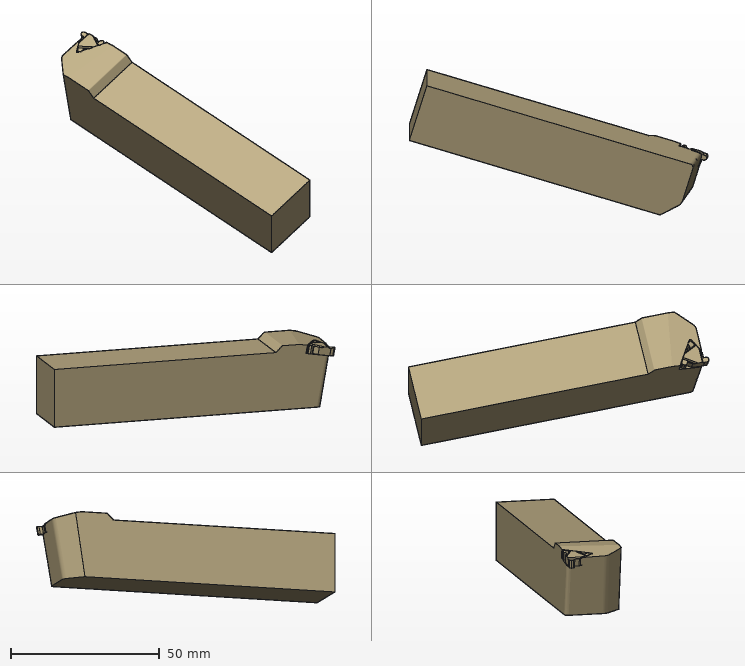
import cadquery as cq
import math

LENGTH = 99.2
WIDTH = 20.0
SHANK_HEIGHT = 20.0
HEAD_HEIGHT = 22.2
HEAD_END_X = 18.85
HEAD_CREST_RADIUS = 0.5
HEAD_FOOT_X = 21.1

NOSE_TOP_X = 1.4
NOSE_BOTTOM_X = 5.3
CORNER_TOP = 6.25
CORNER_BOTTOM = 5.8
CORNER_RADIUS = 3.0
SIDE_RADIUS = 1.3

RAMP_START_X = 9.9
RAMP_END_X = 12.8
RAMP_ANGLE = 10.0

INSERT_X = 4.7
INSERT_Y = 16.8
INSERT_THICKNESS = 2.9
INSERT_INRADIUS = 3.1
SHOULDER_REACH = 3.2
TOOTH_REACH = 4.8
TOOTH_OFFSET = 2.1
TOOTH_WIDTH = 1.8
TOOTH_CHAMFER = 0.5
POCKET_INRADIUS = 3.2
POCKET_CORNER_RADIUS = 0.4
GROOVE_START = 2.3
GROOVE_BOTTOM = 2.7
GROOVE_DEPTH = 0.4
TIP_DROP = 0.05
CORNERS = 3
CLEAR = 29.8

ramp_run = math.atan2(RAMP_END_X - RAMP_START_X, WIDTH)
ramp_normal = cq.Vector(
    -math.sin(math.radians(RAMP_ANGLE)) * math.cos(ramp_run),
    math.sin(math.radians(RAMP_ANGLE)) * math.sin(ramp_run),
    math.cos(math.radians(RAMP_ANGLE)),
)
insert_z = HEAD_HEIGHT - (
    ramp_normal.x * (INSERT_X - RAMP_START_X) + ramp_normal.y * INSERT_Y
) / ramp_normal.z
ramp_plane = cq.Plane(
    origin=(INSERT_X, INSERT_Y, insert_z),
    xDir=(ramp_normal.z, 0, -ramp_normal.x),
    normal=ramp_normal,
)


def nose_outline(work, nose_x, corner):
    """Plan outline with one 45 degree corner."""
    return work.polyline([
        (nose_x, WIDTH),
        (nose_x, corner),
        (nose_x + corner, 0),
        (LENGTH, 0),
        (LENGTH, WIDTH),
    ]).close()


def make_blank():
    """Shank with raised head, leaning nose and ramp, before the pocket."""
    profile = (
        cq.Workplane("XZ")
        .polyline([
            (0, 0), (LENGTH, 0), (LENGTH, SHANK_HEIGHT),
            (HEAD_FOOT_X, SHANK_HEIGHT), (HEAD_END_X, HEAD_HEIGHT), (0, HEAD_HEIGHT),
        ])
        .close()
        .extrude(-WIDTH)
    )
    crest = cq.selectors.NearestToPointSelector((HEAD_END_X, WIDTH / 2, HEAD_HEIGHT))
    profile = profile.edges(crest).fillet(HEAD_CREST_RADIUS)
    plan = nose_outline(cq.Workplane("XY"), NOSE_BOTTOM_X, CORNER_BOTTOM)
    plan = nose_outline(plan.workplane(offset=HEAD_HEIGHT), NOSE_TOP_X, CORNER_TOP)
    plan = plan.loft(ruled=True)
    middle_x = (NOSE_TOP_X + NOSE_BOTTOM_X) / 2
    middle_corner = (CORNER_TOP + CORNER_BOTTOM) / 2
    middle_z = HEAD_HEIGHT / 2
    plan = plan.edges(
        cq.selectors.NearestToPointSelector((middle_x, middle_corner, middle_z))
    ).fillet(CORNER_RADIUS)
    plan = plan.edges(
        cq.selectors.NearestToPointSelector((middle_x, WIDTH, middle_z))
    ).fillet(SIDE_RADIUS)
    above_ramp = cq.Workplane(ramp_plane).rect(2 * CLEAR, 2 * CLEAR).extrude(CLEAR)
    ahead_of_edge = (
        cq.Workplane("XY")
        .polyline([
            (-CLEAR, 0), (RAMP_START_X, 0), (RAMP_END_X, WIDTH), (-CLEAR, WIDTH),
        ])
        .close()
        .extrude(CLEAR)
    )
    return profile.intersect(plan).cut(above_ramp.intersect(ahead_of_edge))


def around(shape, index):
    """Turn a shape in the insert's own frame to one of its corners."""
    return shape.rotate((0, 0, 0), (0, 0, 1), index * 360 / CORNERS)


def make_triangle(inradius):
    """Triangular plate with one corner pointing towards local -Y."""
    circumradius = 2 * inradius
    return (
        cq.Workplane("XY")
        .polygon(CORNERS, 2 * circumradius)
        .extrude(-INSERT_THICKNESS)
        .rotate((0, 0, 0), (0, 0, 1), -90)
    )


def make_insert_outline():
    """Plate and teeth at full thickness, upper face at local Z = 0."""
    plate = make_triangle(INSERT_INRADIUS)
    shoulder_block = (
        cq.Workplane("XY")
        .box(CLEAR, CLEAR, CLEAR)
        .translate((-SHOULDER_REACH - CLEAR / 2, 0, 0))
    )
    tooth = (
        cq.Workplane("XY")
        .center(-TOOTH_REACH / 2, TOOTH_OFFSET)
        .rect(TOOTH_REACH, TOOTH_WIDTH)
        .extrude(-INSERT_THICKNESS)
        .edges("|Z and <X")
        .chamfer(TOOTH_CHAMFER)
    )
    for index in range(CORNERS):
        plate = plate.cut(around(shoulder_block, index))
    for index in range(CORNERS):
        plate = plate.union(around(tooth, index))
    return plate


def cut_chip_grooves(plate):
    """Groove behind each tooth, rising again towards its tip."""
    groove = (
        cq.Workplane("XZ")
        .polyline([
            (-GROOVE_START, 0), (-GROOVE_BOTTOM, -GROOVE_DEPTH),
            (-TOOTH_REACH, -TIP_DROP), (-TOOTH_REACH, 0),
        ])
        .close()
        .extrude(CLEAR / 2, both=True)
    )
    for index in range(CORNERS):
        plate = plate.cut(around(groove, index))
    return plate


def place(shape):
    """Move a shape from the insert's own frame onto the ramp."""
    return cq.Workplane(shape.solids().val().moved(cq.Location(ramp_plane)))


def make_holder(outline):
    """Blank with a triangular pocket around the insert, open at the +Y side."""
    pocket = make_triangle(POCKET_INRADIUS).edges("|Z").fillet(POCKET_CORNER_RADIUS)
    pocket = pocket.union(outline)
    side_opening = (
        cq.Workplane("XY")
        .rect(2 * INSERT_INRADIUS * math.sqrt(3), 2 * INSERT_INRADIUS)
        .extrude(-INSERT_THICKNESS)
        .translate((0, 2 * INSERT_INRADIUS, 0))
    )
    return make_blank().cut(place(pocket)).cut(place(side_opening))


outline = make_insert_outline()
insert = place(cut_chip_grooves(outline))
holder = make_holder(outline)

result = cq.Compound.makeCompound([holder.solids().val(), insert.solids().val()])